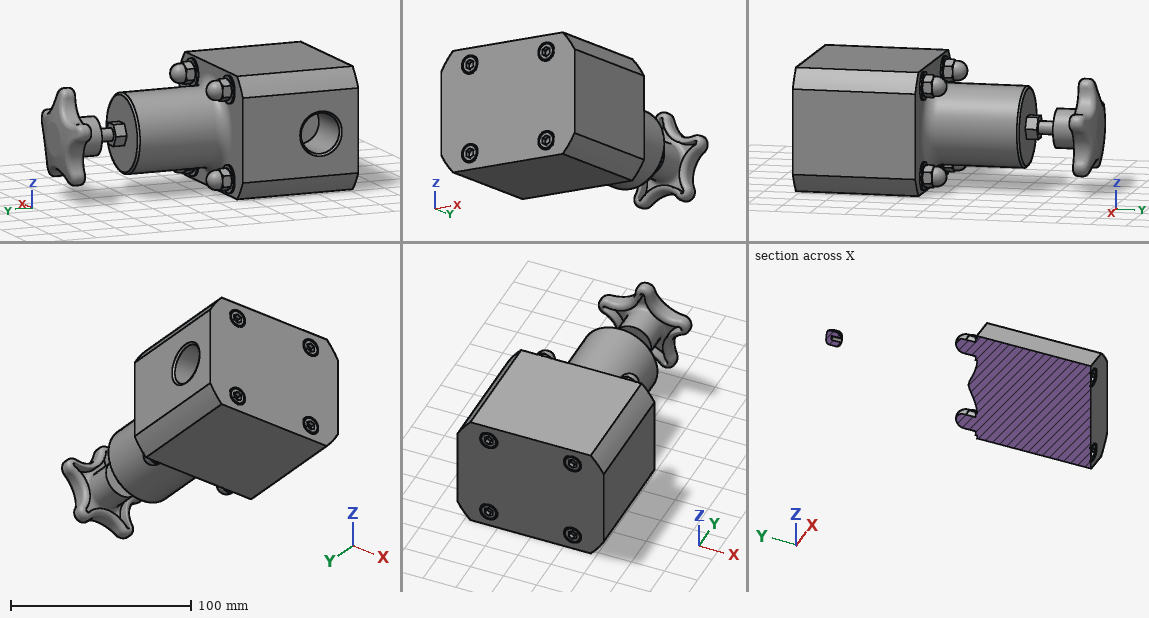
import cadquery as cq
import math

overall_length = 165.1

body_width = 88.8
body_depth = 69.9
body_height = 69.9
body_corner_diameter = 101.0

port_diameter = 23.1
port_rim_diameter = 25.5
port_depth = 29.7
port_from_front = 22.6

bolt_spacing = 50.9
screw_head_diameter = 10.5
screw_head_chamfer = 0.8
socket_across_flats = 4.8
socket_depth = 3.0
socket_tip_depth = 1.3
washer_diameter = 15.9
washer_thickness = 1.0
nut_across_flats = 11.0
nut_height = 5.5
nut_collar_height = 1.5
nut_corner_chamfer = 0.5

bonnet_diameter = 45.7
bonnet_end = 123.9
bonnet_flare = 6.5
bonnet_chamfer = 1.2

lock_nut_across_flats = 12.4
lock_nut_height = 6.6
spindle_diameter = 7.5

hub_diameter = 22.1
hub_start = 140.5
wheel_thickness = 12.0
lobe_count = 5
lobe_radius = 5
lobe_center_radius = 23.6
valley_radius = 17.5
wheel_dome_radius = 82.5
wheel_flat_radius = 9.7
wheel_edge_fillet = 3.0
wheel_recess_inset = 3.6
wheel_recess_depth = 5.6
wheel_recess_fillet = 0.5
hub_root_fillet = 3.1

wheel_bottom = overall_length - wheel_thickness


def plane_at(y):
    """Plane across the valve axis: local x is -X, local y is Z and extrusion runs toward +Y."""
    return cq.Workplane(cq.Plane(origin=(0, y, 0), xDir=(-1, 0, 0), normal=(0, 1, 0)))


def disc(diameter, start, end):
    return plane_at(start).circle(diameter / 2).extrude(end - start)


def across_corners(across_flats):
    return across_flats / math.cos(math.pi / 6)


def hexagon(across_flats, start, end, corners_along_x):
    turn = 0 if corners_along_x else 90
    prism = plane_at(start).polygon(6, across_corners(across_flats)).extrude(end - start)
    return prism.rotate((0, 0, 0), (0, 1, 0), turn)


def at_bolts(shape):
    """Copies of a shape built on the valve axis, moved to the four bolt positions."""
    offset = bolt_spacing / 2
    return [shape.translate((x, 0, z)) for x in (-offset, offset) for z in (-offset, offset)]


def make_body():
    block = plane_at(0).rect(body_width, body_height).extrude(body_depth)
    body = block.intersect(disc(body_corner_diameter, 0, body_depth))
    port_face = cq.Workplane("YZ", origin=(-body_width / 2, port_from_front, 0))
    body = body.cut(port_face.circle(port_diameter / 2).extrude(port_depth))
    rim_depth = (port_rim_diameter - port_diameter) / 2
    rim = port_face.circle(port_rim_diameter / 2).extrude(rim_depth, taper=45)
    return body.cut(rim)


def make_screw_pocket():
    """Material missing around a flush screw head: edge chamfer gap and pointed hexagon socket."""
    gap = disc(screw_head_diameter, 0, screw_head_chamfer)
    head_face = screw_head_diameter / 2 - screw_head_chamfer
    head = plane_at(0).circle(head_face).extrude(screw_head_chamfer, taper=-45)
    socket = hexagon(socket_across_flats, 0, socket_depth, False)
    tip_radius = socket_across_flats / 2
    tip_base = cq.Vector(0, socket_depth, 0)
    tip = cq.Solid.makeCone(tip_radius, 0, socket_tip_depth, tip_base, cq.Vector(0, 1, 0))
    return gap.cut(head).union(socket).union(cq.Workplane(tip))


def make_cap_nut():
    """Domed nut on a washer: chamfered hexagon, short round collar and half-ball cap."""
    washer_top = body_depth + washer_thickness
    nut_top = washer_top + nut_height
    collar_top = nut_top + nut_collar_height
    nut = disc(washer_diameter, body_depth, washer_top)
    corner_diameter = across_corners(nut_across_flats)
    corner_cut = (corner_diameter - nut_across_flats) / 2
    turned = disc(corner_diameter, washer_top, nut_top).edges().chamfer(nut_corner_chamfer, corner_cut)
    nut = nut.union(hexagon(nut_across_flats, washer_top, nut_top, False).intersect(turned))
    nut = nut.union(disc(nut_across_flats, nut_top, collar_top))
    ball = cq.Workplane("XY").sphere(nut_across_flats / 2).translate((0, collar_top, 0))
    dome = ball.intersect(disc(nut_across_flats, collar_top, overall_length))
    return nut.union(dome)


def flared_foot(diameter, foot, fillet, direction):
    """Disc on the valve axis whose rim runs as a concave fillet from the foot plane onto its diameter."""
    radius = diameter / 2
    middle = fillet * (1 - math.sqrt(0.5))
    profile = (
        cq.Workplane("XY")
        .moveTo(0, foot)
        .lineTo(radius + fillet, foot)
        .threePointArc((radius + middle, foot + direction * middle), (radius, foot + direction * fillet))
        .lineTo(0, foot + direction * fillet)
        .close()
    )
    return profile.revolve(360, (0, 0, 0), (0, 1, 0))


def make_bonnet():
    barrel = disc(bonnet_diameter, body_depth, bonnet_end).faces(">Y").edges().chamfer(bonnet_chamfer)
    return barrel.union(flared_foot(bonnet_diameter, body_depth, bonnet_flare, 1))


def make_spindle():
    lock_nut = hexagon(lock_nut_across_flats, bonnet_end, bonnet_end + lock_nut_height, True)
    return lock_nut.union(disc(spindle_diameter, bonnet_end, hub_start))


def polar(radius, angle):
    return (radius * math.cos(angle), radius * math.sin(angle))


def star(y, inset, height):
    """Star prism: round lobe ends joined by concave arcs tangent to them; inset shrinks the outline."""
    half_pitch = math.pi / lobe_count
    tip_radius = lobe_radius - inset

    along = lobe_center_radius * math.cos(half_pitch)
    across = lobe_center_radius * math.sin(half_pitch)

    gap = along - valley_radius
    valley_arc_radius = (gap**2 + across**2 - lobe_radius**2) / (2 * (lobe_radius + gap))
    touch_angle = math.atan2(across, valley_radius + valley_arc_radius - along)
    touch_along = along + tip_radius * math.cos(touch_angle)
    touch_across = across - tip_radius * math.sin(touch_angle)
    touch_radius = math.hypot(touch_along, touch_across)
    touch_turn = half_pitch - math.atan2(touch_across, touch_along)

    first = math.pi / 2
    outline = plane_at(y).moveTo(*polar(touch_radius, first - touch_turn))
    for i in range(lobe_count):
        lobe = first + 2 * half_pitch * i
        next_lobe = lobe + 2 * half_pitch
        lobe_tip = polar(lobe_center_radius + tip_radius, lobe)
        valley = polar(valley_radius - inset, lobe + half_pitch)
        outline = outline.threePointArc(lobe_tip, polar(touch_radius, lobe + touch_turn))
        outline = outline.threePointArc(valley, polar(touch_radius, next_lobe - touch_turn))
    return outline.close().extrude(height)


def make_handwheel():
    """Domed star wheel with rounded edges, hollow underneath, on a hub with a filleted root."""
    dome_rise = wheel_dome_radius - math.sqrt(wheel_dome_radius**2 - wheel_flat_radius**2)
    dome_center = overall_length + dome_rise - wheel_dome_radius
    dome = cq.Workplane("XY").sphere(wheel_dome_radius).translate((0, dome_center, 0))
    wheel = star(wheel_bottom, 0, wheel_thickness).intersect(dome)
    outline_edges = wheel.faces("<Y").edges().vals() + wheel.faces("%SPHERE").edges("not(>Y)").vals()
    wheel = wheel.newObject(outline_edges).fillet(wheel_edge_fillet)

    recess_floor = wheel_bottom + wheel_recess_depth
    wheel = wheel.cut(star(wheel_bottom, wheel_recess_inset, wheel_recess_depth))
    recess_mouth = wheel.faces("<Y").wires(cq.selectors.LengthNthSelector(0))
    wheel = wheel.newObject(recess_mouth.edges().vals()).fillet(wheel_recess_fillet)

    hub = disc(hub_diameter, hub_start, recess_floor)
    return wheel.union(hub).union(flared_foot(hub_diameter, recess_floor, hub_root_fillet, -1))


result = make_body()
for pocket in at_bolts(make_screw_pocket()):
    result = result.cut(pocket)
result = result.union(make_bonnet())
for nut in at_bolts(make_cap_nut()):
    result = result.union(nut)
result = result.union(make_spindle()).union(make_handwheel())